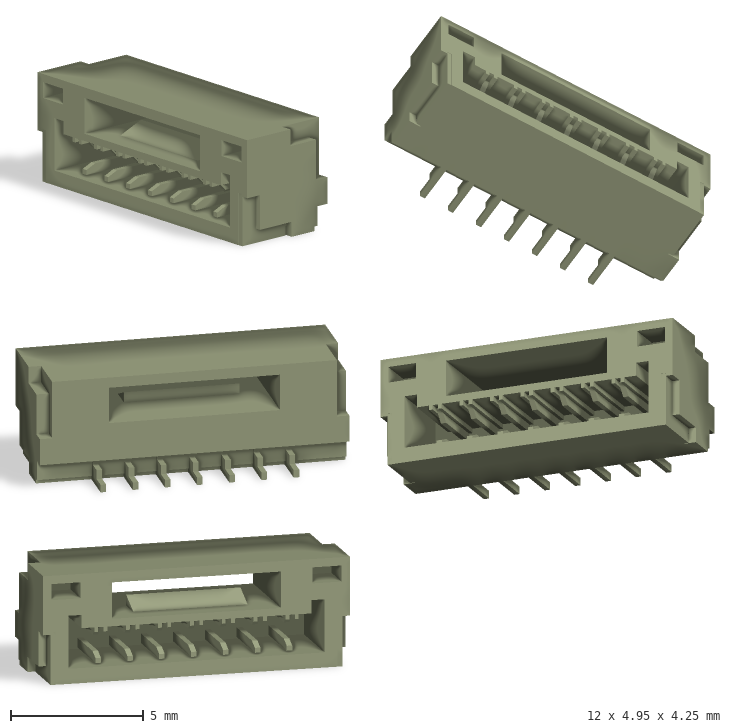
import cadquery as cq


width = 12.0
height = 4.25
depth = 4.05

rear_overhang_z = 0.95
rear_wall_y = 3.54
foot_height = 0.18
foot_y = 3.4

upper_notch_width = 0.48
upper_notch_top_y = 2.17
upper_notch_ledge_z = 3.59
upper_notch_rear_y = 3.47
upper_notch_bottom_z = 1.99
lower_notch_width = 0.29
lower_notch_top_z = 1.95
lower_notch_front_y = 0.65
lower_notch_ledge_z = 0.59
lower_notch_rear_y = 2.25

nail_thickness = 0.19
nail_outer_x = width / 2 - lower_notch_width
nail_inner_x = nail_outer_x - nail_thickness
nail_height = 2.06
nail_setback = 0.01
nail_rear_gap = 0.05
nail_gap_height = 0.37

cavity_half_width = 5.02
cavity_floor_z = 0.59
cavity_roof_z = 2.14
cavity_depth = 3.0
ear_inner_x = 4.5
ear_top_z = 2.65

window_half_width = 3.31
window_floor_z = 2.42
window_top_z = 3.84
ramp_width = 4.48
ramp_start_y = 0.86
ramp_rise = 0.42
ramp_run = 1.05

pocket_inner_x = 4.54
pocket_outer_x = 5.68
pocket_bottom_z = 3.3
pocket_top_z = 3.92
pocket_depth = 1.44

pin_count = 7
pin_pitch = 1.25
pin_width = 0.22
pin_tip_y = 0.38
pin_root_y = cavity_depth + 0.12
blade_bottom_z = 0.65
blade_tip_z = 0.84
blade_top_z = 1.02
blade_taper = 0.43
arm_bottom_z = 1.65
arm_tip_z = 2.06
tail_end_y = 4.95
tail_height = 0.3
tail_step_y = 4.26
tail_step_z = 0.66
tail_root_y = 3.59

rib_width = 0.52
rib_bottom_z = 1.95

SIDES = (-1, 1)


def block(x0, x1, y0, y1, z0, z1):
    """Box between two opposite corners, given as coordinate pairs per axis."""
    size = (abs(x1 - x0), y1 - y0, z1 - z0)
    return cq.Workplane("XY").box(*size, centered=False).translate((min(x0, x1), y0, z0))


def side_profile(points, x_center, thickness):
    """Plate with an outline in (Y, Z), centred on x_center."""
    plate = cq.Workplane("YZ").polyline(points).close().extrude(thickness / 2, both=True)
    return plate.translate((x_center, 0, 0))


def housing_body():
    outline = [
        (0, 0),
        (foot_y, 0),
        (foot_y, foot_height),
        (rear_wall_y, foot_height),
        (rear_wall_y, rear_overhang_z),
        (depth, rear_overhang_z),
        (depth, height),
        (0, height),
    ]
    return side_profile(outline, 0, width)


def upper_notch(side):
    outline = [
        (upper_notch_top_y, height),
        (upper_notch_top_y, upper_notch_ledge_z),
        (upper_notch_rear_y, upper_notch_ledge_z),
        (upper_notch_rear_y, upper_notch_bottom_z),
        (depth, upper_notch_bottom_z),
        (depth, height),
    ]
    return side_profile(outline, side * (width - upper_notch_width) / 2, upper_notch_width)


def lower_notch(side):
    outline = [
        (0, 0),
        (lower_notch_rear_y, 0),
        (lower_notch_rear_y, lower_notch_ledge_z),
        (lower_notch_front_y, lower_notch_ledge_z),
        (lower_notch_front_y, lower_notch_top_z),
        (0, lower_notch_top_z),
    ]
    return side_profile(outline, side * (width - lower_notch_width) / 2, lower_notch_width)


def nail_slot(side):
    """Shallow step leaving the nail plate just behind the mating face."""
    return block(side * nail_inner_x, side * nail_outer_x, 0, nail_setback, 0, nail_height)


def nail_gap(side):
    """Narrow clearance behind the rear end of the nail plate."""
    start_y = lower_notch_rear_y - nail_rear_gap
    return block(side * nail_inner_x, side * nail_outer_x, start_y, lower_notch_rear_y, 0, nail_gap_height)


def corner_pocket(side):
    return block(
        side * pocket_inner_x, side * pocket_outer_x, 0, pocket_depth, pocket_bottom_z, pocket_top_z
    )


def mating_cavity():
    cavity = block(-cavity_half_width, cavity_half_width, 0, cavity_depth, cavity_floor_z, cavity_roof_z)
    for side in SIDES:
        ear = block(side * ear_inner_x, side * cavity_half_width, 0, cavity_depth, cavity_floor_z, ear_top_z)
        cavity = cavity.union(ear)
    return cavity


def latch_window():
    return block(-window_half_width, window_half_width, 0, depth, window_floor_z, window_top_z)


def latch_ramp():
    """Wedge on the window floor, rising inwards to a vertical locking face."""
    ramp_end_y = ramp_start_y + ramp_run
    outline = [
        (ramp_start_y, window_floor_z),
        (ramp_end_y, window_floor_z),
        (ramp_end_y, window_floor_z + ramp_rise),
    ]
    return side_profile(outline, 0, ramp_width)


def guide_ribs(x):
    """Pair of ribs leaving a slot one pin wide between them."""
    ribs = block(x - rib_width / 2, x + rib_width / 2, 0, cavity_depth, rib_bottom_z, cavity_roof_z)
    slot = block(x - pin_width / 2, x + pin_width / 2, 0, cavity_depth, rib_bottom_z, cavity_roof_z)
    return ribs.cut(slot)


def contact_blade(x):
    """Lower contact finger with a tapered tip."""
    outline = [
        (pin_tip_y, blade_bottom_z),
        (pin_root_y, blade_bottom_z),
        (pin_root_y, blade_top_z),
        (pin_tip_y + blade_taper, blade_top_z),
        (pin_tip_y, blade_tip_z),
    ]
    return side_profile(outline, x, pin_width)


def contact_arm(x):
    """Upper contact finger under the cavity roof, its tip cut at 45 degrees."""
    outline = [
        (pin_tip_y, cavity_roof_z),
        (pin_tip_y, arm_tip_z),
        (pin_tip_y + arm_tip_z - arm_bottom_z, arm_bottom_z),
        (pin_root_y, arm_bottom_z),
        (pin_root_y, cavity_roof_z),
    ]
    return side_profile(outline, x, pin_width)


def solder_tail(x):
    """Stepped tail leaving the rear wall at the mounting plane."""
    outline = [
        (foot_y, 0),
        (tail_end_y, 0),
        (tail_end_y, tail_height),
        (tail_step_y, tail_height),
        (tail_step_y, tail_step_z),
        (tail_root_y, tail_step_z),
        (tail_root_y, rear_overhang_z),
        (foot_y, rear_overhang_z),
    ]
    return side_profile(outline, x, pin_width)


result = housing_body().cut(mating_cavity()).cut(latch_window())
for side in SIDES:
    for cutter in (upper_notch, lower_notch, nail_slot, nail_gap, corner_pocket):
        result = result.cut(cutter(side))

result = result.union(latch_ramp())
for index in range(pin_count):
    pin_x = (index - (pin_count - 1) / 2) * pin_pitch
    for feature in (guide_ribs, contact_blade, contact_arm, solder_tail):
        result = result.union(feature(pin_x))